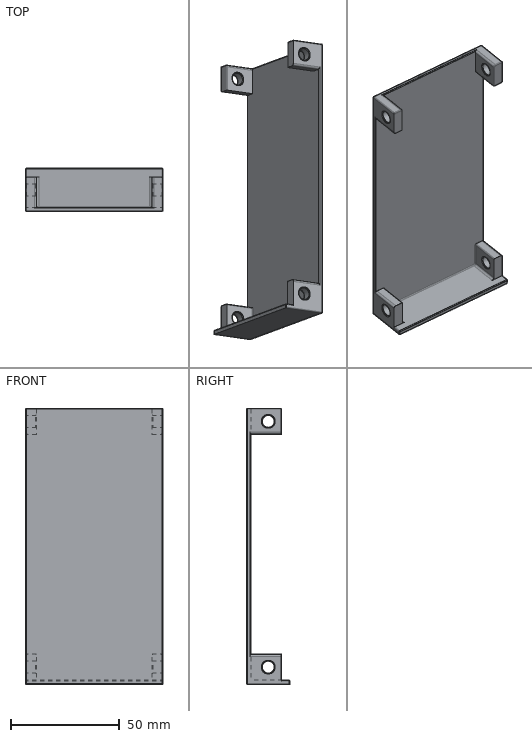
import cadquery as cq
width = 63.0
depth = 20.0
height = 127.0

plate_thickness = 2.0
flange_thickness = 2.0
tab_thickness = 5.0
tab_height = 12.0
tab_depth = 16.0

hole_diameter = 5.5
hole_from_front = 10.0
hole_from_tab_end = 6.0

edge_chamfer = 0.4
small_radius = 0.4
tab_edge_radius = 1.0

upper_tab_base = height - tab_height
lower_tab_top = flange_thickness + tab_height
left = -width / 2
right = width / 2
sides = ((left, left + tab_thickness), (right, right - tab_thickness))
tab_middle = (plate_thickness + tab_depth) / 2
flange_tip_middle = (tab_depth + depth) / 2


def block(x_min, x_max, y_max, z_min, z_max):
    """Box with its front on y = 0."""
    size = (x_max - x_min, y_max, z_max - z_min)
    return cq.Workplane("XY").box(*size, centered=False).translate((x_min, 0, z_min))


def make_shell():
    """Front plate, bottom flange and four corner tabs."""
    shell = block(left, right, plate_thickness, 0, height)
    shell = shell.union(block(left, right, depth, 0, flange_thickness))
    for z_min, z_max in ((0, lower_tab_top), (upper_tab_base, height)):
        shell = shell.union(block(left, left + tab_thickness, tab_depth, z_min, z_max))
        shell = shell.union(block(right - tab_thickness, right, tab_depth, z_min, z_max))
    return shell.clean()


def edges_near(body, points):
    """Edges whose middles lie closest to the given points."""
    picked = body.newObject([])
    for point in points:
        picked = picked.add(body.edges(cq.selectors.NearestToPointSelector(point)))
    return picked


def round_tab_edges(shell):
    """Large rounds along the tabs and in the corners between tabs and flange."""
    points = []
    for outer_x, inner_x in sides:
        points.append((outer_x, tab_middle, lower_tab_top))
        points.append((outer_x, tab_middle, upper_tab_base))
        points.append((inner_x, tab_middle, height))
        points.append((inner_x, tab_middle, flange_thickness))
    return edges_near(shell, points).fillet(tab_edge_radius)


def chamfer_edges(body):
    """Chamfers around the front, on the plate's rear edges and at the flange tip."""
    points = [(0, plate_thickness, height), (0, depth, flange_thickness)]
    for outer_x, _ in sides:
        points.append((outer_x, depth, flange_thickness / 2))
        points.append((outer_x, plate_thickness, height / 2))
    front_edges = body.faces("<Y").edges()
    return edges_near(body, points).add(front_edges).chamfer(edge_chamfer)


def round_small_edges(body):
    """Small rounds along the outline, the tab ends and the corner between plate and flange."""
    points = [(0, plate_thickness, flange_thickness)]
    for outer_x, inner_x in sides:
        points.append((outer_x, tab_depth / 2, height))
        points.append((outer_x, depth / 2, 0))
        points.append((outer_x, flange_tip_middle, flange_thickness))
        points.append((inner_x, tab_middle, lower_tab_top))
        points.append(((outer_x + inner_x) / 2, tab_depth, height))
    return edges_near(body, points).fillet(small_radius)


def cut_holes(body):
    """Through holes across both sides, chamfered where they enter and leave each tab."""
    for z in (lower_tab_top - hole_from_tab_end, height - hole_from_tab_end):
        drill = cq.Workplane("YZ").center(hole_from_front, z).circle(hole_diameter / 2)
        body = body.cut(drill.extrude(width / 2, both=True))
    return body.edges("%CIRCLE").edges(cq.selectors.RadiusNthSelector(-1)).chamfer(edge_chamfer)


softened = round_small_edges(chamfer_edges(round_tab_edges(make_shell())))
result = cut_holes(softened)